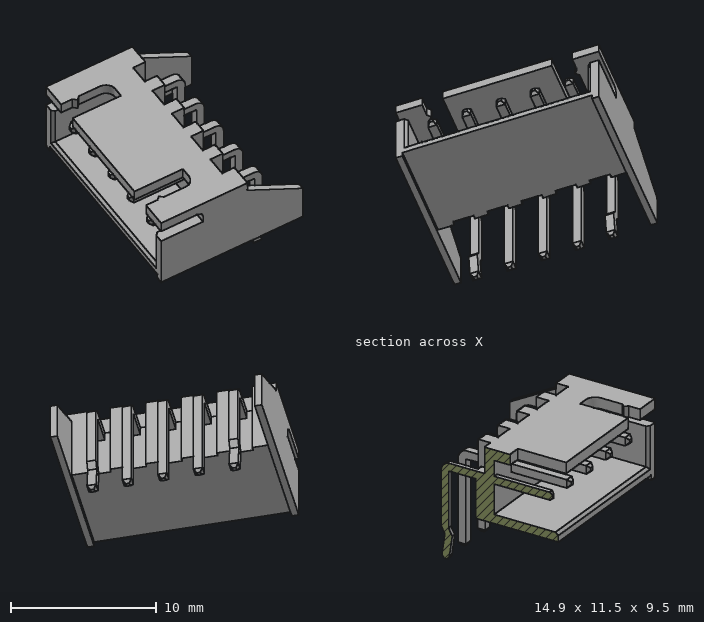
import cadquery as cq


PIN_COUNT = 5
PITCH = 2.5
PIN_SIZE = 0.64
PIN_AXIS_Z = 3.75
PIN_FRONT_Y = 0.45
PIN_BACK_Y = 9.54
PIN_BOTTOM_Z = -3.4
BEND_OUTER_RADIUS = 0.74
BEND_INNER_RADIUS = BEND_OUTER_RADIUS - PIN_SIZE
TIP_LENGTH = 0.25
TIP_INSET = 0.19
KINK_START_Z = -0.95
KINK_PEAK_Z = -1.5
KINK_OFFSET = 0.3
KINK_END_OFFSET = 0.06

END_MARGIN = 2.45
WIDTH = (PIN_COUNT - 1) * PITCH + 2 * END_MARGIN
TOP_Z = 6.1
BODY_DEPTH = 7.0
BASE_Z = 0.38
WING_THICKNESS = 0.5
WING_BACK_Y = 11.5
WING_SHOULDER_Z = 5.35
WING_BACK_Z = 2.9

SIDE_WALL = 0.85
ROOF = 0.85
CAVITY_FLOOR_Z = 1.12
CAVITY_TOP_Z = TOP_Z - ROOF
CAVITY_DEPTH = 5.2
CAVITY_WIDTH = WIDTH - 2 * SIDE_WALL
LEAD_IN = 0.22

SIDE_SLOT_DEPTH = 3.4
SIDE_SLOT_HEIGHT = 1.0
SIDE_SLOT_RADIUS = 0.5

ROOF_SLOT_INNER_X = 4.0
ROOF_SLOT_OUTER_X = 5.5
ROOF_SLOT_DEPTH = 3.92
ROOF_SLOT_RADIUS = 0.75
RIDGE_Y = 1.18
RIDGE_SIZE = 0.25

NOTCH_WIDTH = 1.5
NOTCH_FRONT_Y = 6.0
NOTCH_BACK_WALL_Y = 6.73
NOTCH_FLOOR_Z = PIN_AXIS_Z + PIN_SIZE / 2

PIN_XS = [(i - (PIN_COUNT - 1) / 2) * PITCH for i in range(PIN_COUNT)]


def box(x_range, y_range, z_range):
    """Axis-aligned box spanning the given coordinate ranges."""
    low, high = zip(x_range, y_range, z_range)
    size = [b - a for a, b in zip(low, high)]
    return cq.Workplane("XY").box(*size, centered=False).translate(low)


def make_shell():
    """Solid body with a thin wing on each side running from the front to behind the body."""
    half = WIDTH / 2
    body = box((-half, half), (0, BODY_DEPTH), (BASE_Z, TOP_Z))
    wing = (
        cq.Workplane("YZ")
        .polyline([
            (0, 0),
            (WING_BACK_Y, 0),
            (WING_BACK_Y, WING_BACK_Z),
            (BODY_DEPTH, WING_SHOULDER_Z),
            (BODY_DEPTH, TOP_Z),
            (0, TOP_Z),
        ])
        .close()
        .extrude(WING_THICKNESS)
    )
    for x in (-half, half - WING_THICKNESS):
        body = body.union(wing.translate((x, 0, 0)))
    return body


def make_cavity():
    """Mating cavity with a bevelled lead-in at the mouth along the floor and both sides."""
    half = CAVITY_WIDTH / 2
    cavity = box((-half, half), (0, CAVITY_DEPTH), (CAVITY_FLOOR_Z, CAVITY_TOP_Z))
    mouth_height = CAVITY_TOP_Z - CAVITY_FLOOR_Z
    mouth_middle_z = (CAVITY_TOP_Z + CAVITY_FLOOR_Z) / 2
    lead_in = (
        cq.Workplane("XZ")
        .center(0, mouth_middle_z - LEAD_IN / 2)
        .rect(CAVITY_WIDTH + 2 * LEAD_IN, mouth_height + LEAD_IN)
        .workplane(offset=-LEAD_IN)
        .center(0, LEAD_IN / 2)
        .rect(CAVITY_WIDTH, mouth_height)
        .loft(ruled=True)
    )
    return cavity.union(lead_in)


def make_side_slots():
    """Slot open to the front through both side walls, rounded at its upper back corner."""
    slot = box(
        (-WIDTH / 2, WIDTH / 2),
        (0, SIDE_SLOT_DEPTH),
        (CAVITY_TOP_Z - SIDE_SLOT_HEIGHT, CAVITY_TOP_Z),
    )
    return slot.edges(">Y and >Z").fillet(SIDE_SLOT_RADIUS)


def make_roof_slot():
    """Roof slot at the +X end, with one round corner and a small V ridge on its outer side."""
    slot = box(
        (ROOF_SLOT_INNER_X, ROOF_SLOT_OUTER_X),
        (0, ROOF_SLOT_DEPTH),
        (CAVITY_TOP_Z, TOP_Z),
    )
    slot = slot.edges(">X and >Y").fillet(ROOF_SLOT_RADIUS)
    ridge = (
        cq.Workplane("XY", origin=(ROOF_SLOT_OUTER_X, RIDGE_Y, CAVITY_TOP_Z))
        .polyline([(0, -RIDGE_SIZE), (-RIDGE_SIZE, 0), (0, RIDGE_SIZE)])
        .close()
        .extrude(ROOF)
    )
    return slot.cut(ridge)


def make_notch(x):
    """Stepped notch in the back edge: full height behind its back wall, shallow in front of it."""
    x_range = (x - NOTCH_WIDTH / 2, x + NOTCH_WIDTH / 2)
    shallow = box(x_range, (NOTCH_FRONT_Y, BODY_DEPTH), (NOTCH_FLOOR_Z, TOP_Z))
    full = box(x_range, (NOTCH_BACK_WALL_Y, BODY_DEPTH), (BASE_Z, TOP_Z))
    return shallow.union(full)


def make_tip():
    """Tapered contact tip, growing along +Z from a full-size base at the origin."""
    end_size = PIN_SIZE - 2 * TIP_INSET
    return (
        cq.Workplane("XY")
        .rect(PIN_SIZE, PIN_SIZE)
        .workplane(offset=TIP_LENGTH)
        .rect(end_size, end_size)
        .loft(ruled=True)
    )


def make_pin(kinked):
    """Bent contact on x = 0; a kinked one bows toward the front below the housing."""
    half = PIN_SIZE / 2
    front_y = PIN_FRONT_Y + TIP_LENGTH
    leg_end_z = PIN_BOTTOM_Z + TIP_LENGTH
    leg_front_y = PIN_BACK_Y - PIN_SIZE
    end_shift = KINK_END_OFFSET if kinked else 0
    leg_axis_y = PIN_BACK_Y - half - end_shift
    upper_z = PIN_AXIS_Z + half
    lower_z = PIN_AXIS_Z - half

    back_kink = []
    front_kink = []
    if kinked:
        back_kink = [
            (PIN_BACK_Y, KINK_START_Z),
            (PIN_BACK_Y - KINK_OFFSET, KINK_PEAK_Z),
        ]
        front_kink = [
            (leg_front_y - KINK_OFFSET, KINK_PEAK_Z),
            (leg_front_y, KINK_START_Z),
        ]
    outline = [
        (front_y, lower_z),
        (front_y, upper_z),
        (PIN_BACK_Y, upper_z),
        *back_kink,
        (PIN_BACK_Y - end_shift, leg_end_z),
        (leg_front_y - end_shift, leg_end_z),
        *front_kink,
        (leg_front_y, lower_z),
    ]
    bar = cq.Workplane("YZ").polyline(outline).close().extrude(half, both=True)
    bar = bar.edges(cq.NearestToPointSelector((0, PIN_BACK_Y, upper_z))).fillet(BEND_OUTER_RADIUS)
    bar = bar.edges(cq.NearestToPointSelector((0, leg_front_y, lower_z))).fillet(BEND_INNER_RADIUS)

    front_tip = make_tip().rotate((0, 0, 0), (1, 0, 0), 90).translate((0, front_y, PIN_AXIS_Z))
    leg_tip = make_tip().rotate((0, 0, 0), (1, 0, 0), 180).translate((0, leg_axis_y, leg_end_z))
    return bar.union(front_tip).union(leg_tip)


roof_slot = make_roof_slot()
housing = make_shell().cut(make_cavity()).cut(make_side_slots())
housing = housing.cut(roof_slot).cut(roof_slot.mirror("YZ"))
for pin_x in PIN_XS:
    housing = housing.cut(make_notch(pin_x))

result = housing
for pin_x in PIN_XS:
    is_end_pin = pin_x in (PIN_XS[0], PIN_XS[-1])
    result = result.union(make_pin(is_end_pin).translate((pin_x, 0, 0)))